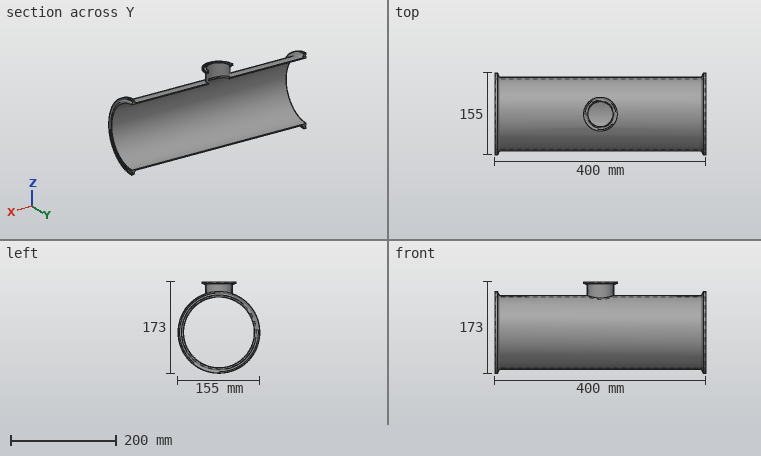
import cadquery as cq

pipe_length = 400.0
pipe_diameter = 140.0
pipe_bore = 134.0
pipe_flange_diameter = 155.0
branch_height = 95.5
branch_diameter = 51.0
branch_bore = 47.5
branch_flange_diameter = 64.0

pipe_rim_thickness = 5.0
pipe_taper_end = 7.5
pipe_neck_end = 10.0
pipe_neck_rise = 2.0
branch_rim_thickness = 3.0
branch_taper_end = 5.0
branch_neck_end = 6.5
branch_neck_rise = 1.0

groove_depth = 1.5
groove_lip_radius = 1.0
pipe_groove_diameter = 145.5
pipe_groove_width = 4.0
branch_groove_diameter = 55.5
branch_groove_width = 3.0


def flanged_tube(length, tube_diameter, flange_diameter, rim, taper_end, neck_end, neck_rise,
                 groove_diameter, groove_width):
    """Solid tube along +Z with a grooved clamp flange whose face lies on Z = 0."""
    tube_radius = tube_diameter / 2
    flange_radius = flange_diameter / 2
    groove_radius = groove_diameter / 2
    neck_radius = tube_radius + neck_rise
    profile = (
        cq.Workplane("XZ")
        .lineTo(groove_radius - groove_width / 2, 0)
        .threePointArc((groove_radius, groove_depth), (groove_radius + groove_width / 2, 0))
        .lineTo(flange_radius, 0)
        .lineTo(flange_radius, rim)
        .lineTo(neck_radius, taper_end)
        .tangentArcPoint((tube_radius, neck_end), relative=False)
        .lineTo(tube_radius, length)
        .lineTo(0, length)
        .close()
    )
    tube = profile.revolve(360, (0, 0, 0), (0, 1, 0))
    on_face = 4e-06
    lip_reach = (groove_width + groove_lip_radius) / 2
    lips = tube.edges("%CIRCLE").filter(
        lambda edge: abs(edge.Center().z) < on_face
        and abs(edge.radius() - groove_radius) < lip_reach
    )
    return lips.fillet(groove_lip_radius)


half_pipe = flanged_tube(
    pipe_length / 2, pipe_diameter, pipe_flange_diameter, pipe_rim_thickness, pipe_taper_end,
    pipe_neck_end, pipe_neck_rise, pipe_groove_diameter, pipe_groove_width,
)
left_half = half_pipe.rotate((0, 0, 0), (0, 1, 0), 90).translate((-pipe_length / 2, 0, 0))
pipe = left_half.union(left_half.mirror("YZ"))

branch = flanged_tube(
    branch_height, branch_diameter, branch_flange_diameter, branch_rim_thickness, branch_taper_end,
    branch_neck_end, branch_neck_rise, branch_groove_diameter, branch_groove_width,
)
branch = branch.rotate((0, 0, 0), (1, 0, 0), 180).translate((0, 0, branch_height))

pipe_hole = cq.Workplane("YZ").circle(pipe_bore / 2).extrude(pipe_length / 2, both=True)
branch_hole = cq.Workplane("XY").circle(branch_bore / 2).extrude(branch_height)

result = pipe.union(branch).cut(pipe_hole).cut(branch_hole).clean()